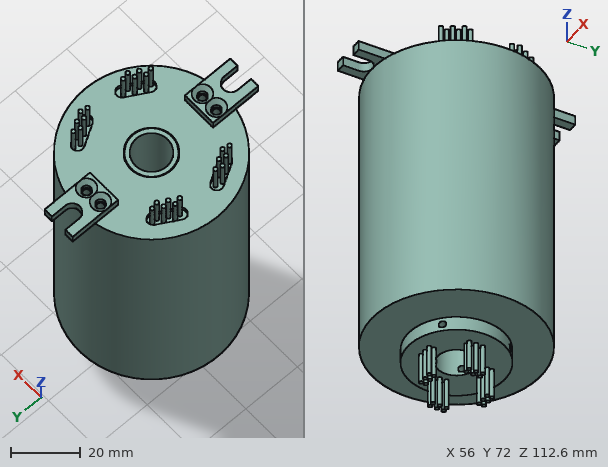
import cadquery as cq
import math

total_height = 112.6
housing_diameter = 56.0
bore_diameter = 12.5
upper_wire_length = 8.9
lower_wire_length = 9.7
wire_diameter = 1.4

neck_diameter = 28.2
neck_height = 1.0
flange_diameter = 32.1
flange_height = 4.5
set_screw_diameter = 2.3
set_screw_count = 4

housing_height = total_height - upper_wire_length - lower_wire_length - neck_height - flange_height
flange_top = -neck_height
flange_bottom = flange_top - flange_height

gap_outer_diameter = 16.0
gap_width = 0.2
gap_depth = 1.5

slot_radius = 20.9
slot_angle = 30.0
slot_length = 12.0
slot_width = 3.9
slot_depth = 1.5

upper_wire_step = 1.7
upper_wire_shift = 0.39
upper_row_offsets = (1.07, -0.51)
upper_wire_count = 6

bundle_count = 4
bundle_radius = 9.8
bundle_rows = 2
wires_per_row = 3
bundle_row_spacing = 1.6
bundle_wire_spacing = 2.3
bundle_sideways_shift = 0.28

bracket_span = 72.0
bracket_width = 11.9
bracket_length = 17.6
bracket_thickness = 3.0
fork_width = 5.7
fork_depth = 8.1
screw_spacing = 6.0
screw_from_tip = 13.5
screw_head_diameter = 6.2
screw_clearance_diameter = 3.2
screw_head_angle = 90.0
tapped_hole_diameter = 2.4
tapped_hole_depth = 7.9
drill_tip_angle = 118.0


def cylinder(diameter, bottom, height):
    return cq.Workplane("XY", origin=(0, 0, bottom)).circle(diameter / 2).extrude(height)


def upper_wires_and_slot():
    """Return the wires and the slot cutter of the outlet in the +X +Y quadrant."""
    floor = housing_height - slot_depth
    slot = (
        cq.Workplane("XY", origin=(slot_radius, 0, floor))
        .slot2D(slot_length, slot_width, 90)
        .extrude(slot_depth)
    )
    middle_index = (upper_wire_count - 1) / 2
    wire_points = [
        (upper_row_offsets[i % 2], upper_wire_shift + (middle_index - i) * upper_wire_step)
        for i in range(upper_wire_count)
    ]
    wires = (
        cq.Workplane("XY", origin=(slot_radius, 0, floor))
        .pushPoints(wire_points)
        .circle(wire_diameter / 2)
        .extrude(slot_depth + upper_wire_length)
    )
    axis_start, axis_end = (0, 0, 0), (0, 0, 1)
    return wires.rotate(axis_start, axis_end, slot_angle), slot.rotate(axis_start, axis_end, slot_angle)


def in_four_quadrants(shape):
    """Mirror a shape from the +X +Y quadrant into the other three."""
    half = shape.union(shape.mirror("YZ"))
    return half.union(half.mirror("XZ"))


def lower_wire_bundle():
    """Six wires under the flange on the +X side."""
    return (
        cq.Workplane("XY", origin=(bundle_radius, bundle_sideways_shift, flange_bottom - lower_wire_length))
        .rarray(bundle_row_spacing, bundle_wire_spacing, bundle_rows, wires_per_row)
        .circle(wire_diameter / 2)
        .extrude(lower_wire_length)
    )


def bracket():
    """Forked bracket on the +Y side, without its screw holes."""
    tip = bracket_span / 2
    plate = (
        cq.Workplane("XY", origin=(0, tip - bracket_length / 2, housing_height))
        .rect(bracket_width, bracket_length)
        .extrude(bracket_thickness)
    )
    fork = (
        cq.Workplane("XY", origin=(0, tip, housing_height))
        .slot2D(2 * fork_depth, fork_width, 90)
        .extrude(bracket_thickness)
    )
    return plate.cut(fork)


def screw_hole():
    """Countersunk clearance hole in the bracket above a blind drilled hole in the housing."""
    head_radius = screw_head_diameter / 2
    clearance_radius = screw_clearance_diameter / 2
    drill_radius = tapped_hole_diameter / 2
    top = housing_height + bracket_thickness
    head_depth = (head_radius - clearance_radius) / math.tan(math.radians(screw_head_angle / 2))
    tip_depth = drill_radius / math.tan(math.radians(drill_tip_angle / 2))
    drill_bottom = housing_height - tapped_hole_depth
    profile = [
        (0, top),
        (head_radius, top),
        (clearance_radius, top - head_depth),
        (clearance_radius, housing_height),
        (drill_radius, housing_height),
        (drill_radius, drill_bottom),
        (0, drill_bottom - tip_depth),
    ]
    return cq.Workplane("XZ").polyline(profile).close().revolve(360, (0, 0, 0), (0, 1, 0))


def around_axis(shape, count, start_angle=0.0):
    """Repeat a shape evenly around the Z axis."""
    copies = shape.rotate((0, 0, 0), (0, 0, 1), start_angle)
    for i in range(1, count):
        copies = copies.union(shape.rotate((0, 0, 0), (0, 0, 1), start_angle + i * 360 / count))
    return copies


body = cylinder(housing_diameter, 0, housing_height)
body = body.union(cylinder(neck_diameter, flange_top, neck_height))
body = body.union(cylinder(flange_diameter, flange_bottom, flange_height))

body = body.cut(cylinder(bore_diameter, flange_bottom, housing_height - flange_bottom))
gap = cylinder(gap_outer_diameter, housing_height - gap_depth, gap_depth).cut(
    cylinder(gap_outer_diameter - 2 * gap_width, housing_height - gap_depth, gap_depth)
)
body = body.cut(gap)

set_screw_hole = (
    cq.Workplane("YZ", origin=(0, 0, flange_bottom + flange_height / 2))
    .circle(set_screw_diameter / 2)
    .extrude(flange_diameter / 2)
)
body = body.cut(around_axis(set_screw_hole, set_screw_count, 180 / set_screw_count))

rear_bracket = bracket()
body = body.union(rear_bracket).union(rear_bracket.mirror("XZ"))
screw_y = bracket_span / 2 - screw_from_tip
body = body.cut(in_four_quadrants(screw_hole().translate((screw_spacing / 2, screw_y, 0))))

upper_wires, outlet_slot = upper_wires_and_slot()
body = body.cut(in_four_quadrants(outlet_slot))
body = body.union(in_four_quadrants(upper_wires))
result = body.union(around_axis(lower_wire_bundle(), bundle_count))